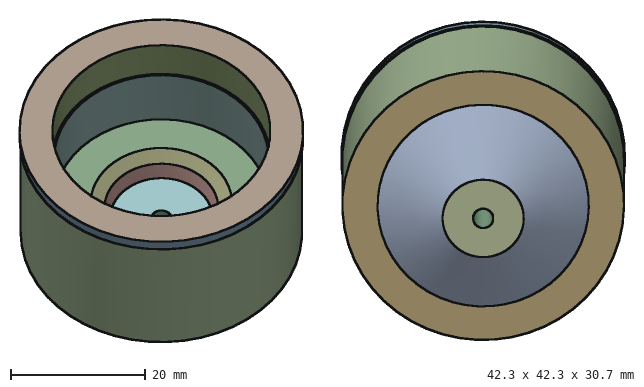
import cadquery as cq

rim_diameter = 42.3
body_diameter = 42.0
rim_height = 2.0
total_height = 30.7
nose_height = 6.4
nose_base_diameter = 31.5
nose_tip_diameter = 12.1

entry_diameter = 32.5
entry_depth = 6.9
bore_diameter = 32.0
bore_depth = 17.5

funnel_mouth_diameter = 21.1
funnel_throat_diameter = 17.0
funnel_floor_diameter = 15.3
upper_cone_depth = 1.18
lower_cone_depth = 2.4
outlet_diameter = 3.0

rim_chamfer = (rim_diameter - body_diameter) / 2
rim_underside_z = total_height - rim_height
entry_floor_z = total_height - entry_depth
bore_floor_z = total_height - bore_depth
funnel_throat_z = bore_floor_z - upper_cone_depth
funnel_floor_z = funnel_throat_z - lower_cone_depth


def revolve_profile(points):
    """Revolve a closed outline of (diameter, height) points about the Z axis."""
    outline = [(diameter / 2, height) for diameter, height in points]
    return cq.Workplane("YZ").polyline(outline).close().revolve(360, (0, 0, 0), (0, 1, 0))


def make_outer_body():
    """Cylinder with a slightly larger rim on top and a truncated cone nose below."""
    return revolve_profile([
        (0, 0),
        (nose_tip_diameter, 0),
        (nose_base_diameter, nose_height),
        (body_diameter, nose_height),
        (body_diameter, rim_underside_z),
        (rim_diameter, rim_underside_z + rim_chamfer),
        (rim_diameter, total_height),
        (0, total_height),
    ])


def make_cavity():
    """Stepped bore, two-stage funnel and the outlet through the nose tip."""
    return revolve_profile([
        (0, 0),
        (outlet_diameter, 0),
        (outlet_diameter, funnel_floor_z),
        (funnel_floor_diameter, funnel_floor_z),
        (funnel_throat_diameter, funnel_throat_z),
        (funnel_mouth_diameter, bore_floor_z),
        (bore_diameter, bore_floor_z),
        (bore_diameter, entry_floor_z),
        (entry_diameter, entry_floor_z),
        (entry_diameter, total_height),
        (0, total_height),
    ])


result = make_outer_body().cut(make_cavity())